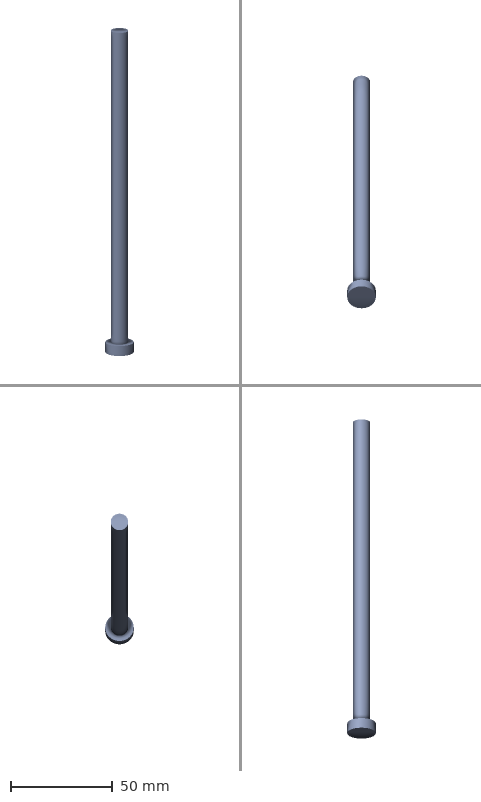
import cadquery as cq

total_length = 165.0
head_diameter = 14.0
head_height = 5.1
shank_diameter = 8.5

head = cq.Workplane("XY").circle(head_diameter / 2).extrude(head_height)
shank = cq.Workplane("XY").circle(shank_diameter / 2).extrude(total_length)

result = head.union(shank)